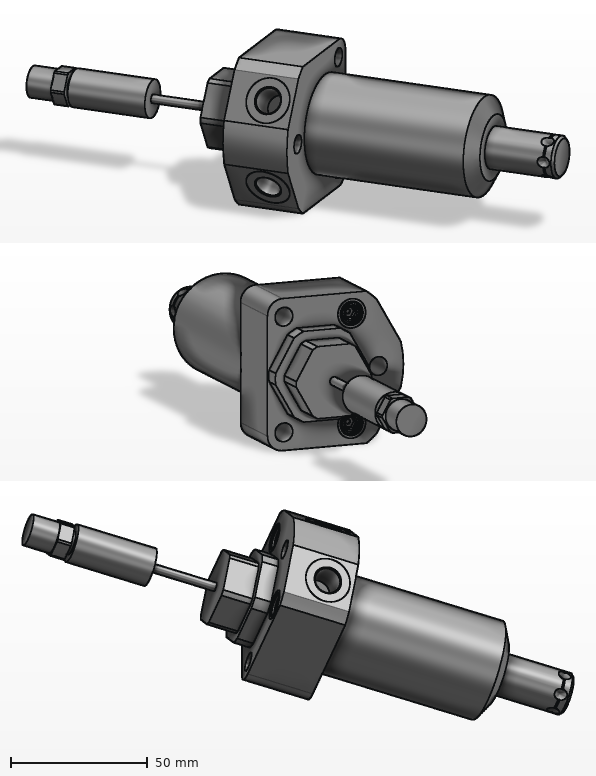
import cadquery as cq
import math


CAP_DIAMETER = 12.0
CAP_LENGTH = 10.2
COLLAR_ACROSS_FLATS = 13.0
COLLAR_CORNER_DIAMETER = 14.5
COLLAR_LENGTH = 5.4
NECK_DIAMETER = 9.0
NECK_LENGTH = 1.5
SLEEVE_DIAMETER = 14.5
SLEEVE_LENGTH = 30.7

CABLE_DIAMETER = 3.3
CABLE_LENGTH = 25.5

OUTER_NUT_ACROSS_FLATS = 27.0
OUTER_NUT_CORNER_DIAMETER = 30.0
OUTER_NUT_LENGTH = 11.4
INNER_NUT_ACROSS_FLATS = 34.0
INNER_NUT_CORNER_DIAMETER = 37.0
INNER_NUT_LENGTH = 6.3

BODY_THICKNESS = 25.5
BODY_RADIUS = 35.0
BODY_HEIGHT = 57.0
BODY_BACK_Y = 19.0
BODY_BACK_CORNER_RADIUS = 6.0
PORT_FLAT_DISTANCE = 33.65
PORT_ANGLE = 30.0

MOUNT_CIRCLE_RADIUS = 25.0
MOUNT_HOLE_DIAMETER = 7.0
MOUNT_HOLE_ANGLES = (60.0, 180.0, 300.0)
PORT_OFFSET = 15.4
PORT_DIAMETER = 9.6
PORT_DEPTH = 13.0
PORT_CHAMFER = 0.4
PORT_SPOTFACE_DIAMETER = 17.0
PORT_SPOTFACE_DEPTH = 0.1
SCREW_CIRCLE_RADIUS = 25.2
SCREW_ANGLE = 55.0
SCREW_SPOTFACE_DIAMETER = 11.0
SCREW_SPOTFACE_DEPTH = 0.1
SCREW_BORE_DIAMETER = 8.2
SCREW_BORE_CHAMFER = 0.4
SCREW_TOP_DEPTH = 1.2
SCREW_RIM_DIAMETER = 6.6
SCREW_RIM_DEPTH = 0.6
SOCKET_ACROSS_FLATS = 4.0
SOCKET_MOUTH_DIAMETER = 5.2
SOCKET_MOUTH_DEPTH = 0.5
SOCKET_DEPTH = 2.5
SOCKET_DRILL_DIAMETER = 1.8
SOCKET_DRILL_DEPTH = 0.5

BARREL_RADIUS = 19.0
BARREL_LENGTH = 63.4
SHOULDER_LENGTH = 3.8
SHOULDER_ANGLE = 60.0
TUBE_DIAMETER = 16.0
TUBE_CHAMFER = 1.0
TOTAL_LENGTH = 211.09

DIMPLE_COUNT = 6
DIMPLE_DIAMETER = 4.8
DIMPLE_DEPTH = 2.2
DIMPLE_FROM_END = 4.0
TUBE_GROOVE_WIDTH = 0.6
TUBE_GROOVE_DEPTH = 0.2

COLLAR_X = CAP_LENGTH
NECK_X = COLLAR_X + COLLAR_LENGTH
SLEEVE_X = NECK_X + NECK_LENGTH
CABLE_X = SLEEVE_X + SLEEVE_LENGTH
OUTER_NUT_X = CABLE_X + CABLE_LENGTH
INNER_NUT_X = OUTER_NUT_X + OUTER_NUT_LENGTH
BODY_X = INNER_NUT_X + INNER_NUT_LENGTH
BARREL_X = BODY_X + BODY_THICKNESS
SHOULDER_X = BARREL_X + BARREL_LENGTH
TUBE_X = SHOULDER_X + SHOULDER_LENGTH
DIMPLE_X = TOTAL_LENGTH - DIMPLE_FROM_END


def section(x):
    """Workplane across the axis at x; its local axes are the global Y and Z."""
    return cq.Workplane("YZ", origin=(x, 0, 0))


def rod(x, length, diameter, y=0, z=0):
    return section(x).center(y, z).circle(diameter / 2).extrude(length)


def nut(x, length, across_flats, corner_diameter):
    """Hexagon with flats facing up and down and its corners turned round."""
    across_corners = across_flats / math.cos(math.radians(30))
    hexagon = section(x).polygon(6, across_corners).extrude(length)
    return hexagon.intersect(rod(x, length, corner_diameter))


def polar(radius, angle):
    """(y, z) at a radius and an angle from +Y towards +Z."""
    return radius * math.cos(math.radians(angle)), radius * math.sin(math.radians(angle))


def sensor_tip_and_cable():
    cap = rod(0, CAP_LENGTH, CAP_DIAMETER)
    collar = nut(COLLAR_X, COLLAR_LENGTH, COLLAR_ACROSS_FLATS, COLLAR_CORNER_DIAMETER)
    neck = rod(NECK_X, NECK_LENGTH, NECK_DIAMETER)
    sleeve = rod(SLEEVE_X, SLEEVE_LENGTH, SLEEVE_DIAMETER)
    cable = rod(CABLE_X, CABLE_LENGTH, CABLE_DIAMETER)
    return cap.union(collar).union(neck).union(sleeve).union(cable)


def body_plate():
    disc = rod(BODY_X, BODY_THICKNESS, 2 * BODY_RADIUS)
    width = BODY_BACK_Y + BODY_RADIUS
    block = (
        section(BODY_X)
        .center(BODY_BACK_Y - width / 2, 0)
        .rect(width, BODY_HEIGHT)
        .extrude(BODY_THICKNESS)
        .edges("|X and >Y")
        .fillet(BODY_BACK_CORNER_RADIUS)
    )
    plate = disc.intersect(block)
    for angle in (180 - PORT_ANGLE, 180 + PORT_ANGLE):
        plate = plate.cut(port_flat_waste(angle))
    return plate


def port_plane(angle):
    """Workplane on a port flat with its normal pointing outwards."""
    y, z = polar(PORT_FLAT_DISTANCE, angle)
    origin = (BODY_X + PORT_OFFSET, y, z)
    return cq.Workplane(cq.Plane(origin=origin, xDir=(1, 0, 0), normal=(0, y, z)))


def port_flat_waste(angle):
    """Block outside a port flat, long enough to cover the whole plate thickness."""
    length = 2 * BODY_THICKNESS
    depth = BODY_RADIUS - PORT_FLAT_DISTANCE
    return port_plane(angle).rect(length, BODY_RADIUS).extrude(depth)


def port(angle):
    plane = port_plane(angle)
    spotface = plane.circle(PORT_SPOTFACE_DIAMETER / 2).extrude(-PORT_SPOTFACE_DEPTH)
    bore = plane.circle(PORT_DIAMETER / 2).extrude(-PORT_DEPTH)
    mouth = (
        plane.workplane(offset=-PORT_SPOTFACE_DEPTH)
        .circle(PORT_DIAMETER / 2 + PORT_CHAMFER)
        .workplane(offset=-PORT_CHAMFER)
        .circle(PORT_DIAMETER / 2)
        .loft()
    )
    return spotface.union(bore).union(mouth)


def countersink(x, depth, start_diameter, end_diameter, y, z):
    """Cone along the axis from one diameter at x to another at x + depth."""
    return (
        section(x)
        .center(y, z)
        .circle(start_diameter / 2)
        .workplane(offset=depth)
        .circle(end_diameter / 2)
        .loft()
    )


def set_screw_recess(y, z):
    """Space in front of a sunk set screw: spotface, bore, bevelled screw rim and hexagon socket."""
    bore_x = BODY_X + SCREW_SPOTFACE_DEPTH
    top_x = BODY_X + SCREW_TOP_DEPTH
    floor_x = top_x + SOCKET_DEPTH
    across_corners = SOCKET_ACROSS_FLATS / math.cos(math.radians(30))
    mouth_diameter = SCREW_BORE_DIAMETER + 2 * SCREW_BORE_CHAMFER

    spotface = rod(BODY_X, SCREW_SPOTFACE_DEPTH, SCREW_SPOTFACE_DIAMETER, y, z)
    bevel = countersink(bore_x, SCREW_BORE_CHAMFER, mouth_diameter, SCREW_BORE_DIAMETER, y, z)
    bore = rod(bore_x, top_x - bore_x, SCREW_BORE_DIAMETER, y, z)
    rim = rod(top_x, SCREW_RIM_DEPTH, SCREW_BORE_DIAMETER, y, z).cut(
        countersink(top_x, SCREW_RIM_DEPTH, SCREW_RIM_DIAMETER, SCREW_BORE_DIAMETER, y, z)
    )
    mouth = countersink(top_x, SOCKET_MOUTH_DEPTH, SOCKET_MOUTH_DIAMETER, SOCKET_ACROSS_FLATS, y, z)
    socket = section(top_x).center(y, z).polygon(6, across_corners).extrude(SOCKET_DEPTH)
    drill = rod(floor_x, SOCKET_DRILL_DEPTH, SOCKET_DRILL_DIAMETER, y, z)
    return spotface.union(bevel).union(bore).union(rim).union(mouth).union(socket).union(drill)


def barrel_and_tube():
    shoulder_radius = BARREL_RADIUS - SHOULDER_LENGTH * math.tan(math.radians(SHOULDER_ANGLE))
    tube_radius = TUBE_DIAMETER / 2
    profile = [
        (BARREL_X, 0),
        (BARREL_X, BARREL_RADIUS),
        (SHOULDER_X, BARREL_RADIUS),
        (TUBE_X, shoulder_radius),
        (TUBE_X, tube_radius),
        (TOTAL_LENGTH - TUBE_CHAMFER, tube_radius),
        (TOTAL_LENGTH, tube_radius - TUBE_CHAMFER),
        (TOTAL_LENGTH, 0),
    ]
    return cq.Workplane("XY").polyline(profile).close().revolve(360, (0, 0, 0), (1, 0, 0))


def tube_groove():
    x = DIMPLE_X - TUBE_GROOVE_WIDTH / 2
    ring = rod(x, TUBE_GROOVE_WIDTH, TUBE_DIAMETER)
    return ring.cut(rod(x, TUBE_GROOVE_WIDTH, TUBE_DIAMETER - 2 * TUBE_GROOVE_DEPTH))


def dimple(angle):
    """Cone pointing at the axis, with its rim at the tube surface."""
    y, z = polar(TUBE_DIAMETER / 2 - DIMPLE_DEPTH, angle)
    apex = cq.Vector(DIMPLE_X, y, z)
    cone = cq.Solid.makeCone(0, DIMPLE_DIAMETER, 2 * DIMPLE_DEPTH, apex, cq.Vector(0, y, z))
    return cq.Workplane(cone)


result = (
    sensor_tip_and_cable()
    .union(nut(OUTER_NUT_X, OUTER_NUT_LENGTH, OUTER_NUT_ACROSS_FLATS, OUTER_NUT_CORNER_DIAMETER))
    .union(nut(INNER_NUT_X, INNER_NUT_LENGTH, INNER_NUT_ACROSS_FLATS, INNER_NUT_CORNER_DIAMETER))
    .union(body_plate())
    .union(barrel_and_tube())
)

for hole_angle in MOUNT_HOLE_ANGLES:
    hole_y, hole_z = polar(MOUNT_CIRCLE_RADIUS, hole_angle)
    result = result.cut(rod(BODY_X, BODY_THICKNESS, MOUNT_HOLE_DIAMETER, hole_y, hole_z))

for side in (1, -1):
    result = result.cut(port(180 - side * PORT_ANGLE))
    screw_y, screw_z = polar(SCREW_CIRCLE_RADIUS, 180 - side * SCREW_ANGLE)
    result = result.cut(set_screw_recess(screw_y, screw_z))

result = result.cut(tube_groove())
for index in range(DIMPLE_COUNT):
    result = result.cut(dimple(index * 360 / DIMPLE_COUNT))